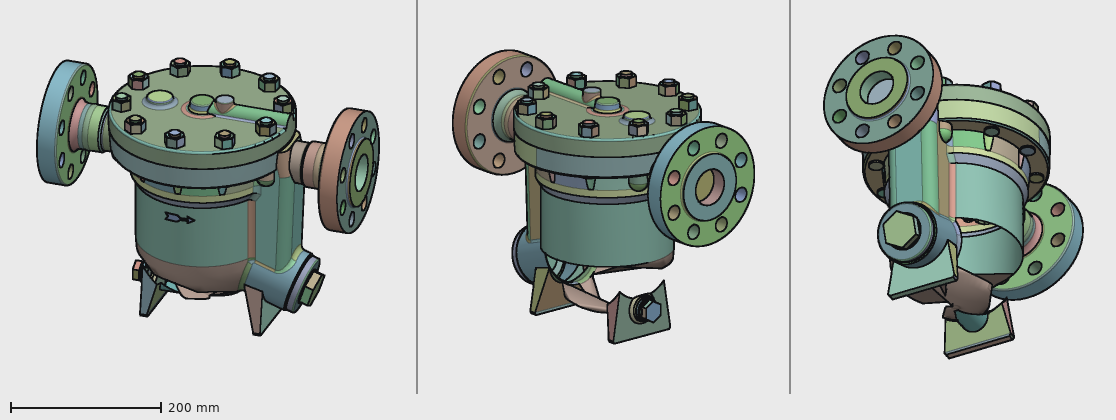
import cadquery as cq
import math


selection_margin = 1
edge_match_tolerance = 0.05

drum_radius = 89
dome_centre_z = -134.8
drum_top_z = -47
shoulder_bottom_z = -35.5
shoulder_top_z = -25
shoulder_radius = 96
neck_top_radius = 98.5

cover_radius = 125
joint_z = 30.5
cover_top_z = 56
cover_edge_fillet = 3
body_rim_bottom_z = 0
body_rim_half_x = 122.2
body_rim_half_y = 124.8
body_rim_edge_height = 2.5
body_rim_setback = 0.5
bolt_count = 10
bolt_circle_radius = 107.5
first_bolt_angle = 18
stud_diameter = 16
stud_top_z = 73.4
nut_top_z = 70
nut_across_flats = 24
nut_chamfer = 1
stud_pad_diameter = 20
stud_pad_height = 2.7
wrench_clearance_diameter = 24
blind_boss_diameter = 26
blind_boss_straight = 11.5

pipe_diameter = 56
face_to_face = 435
pipe_middle_x = 8
flange_diameter = 165
flange_thickness = 27
flange_edge_fillet = 2
raised_face_diameter = 92.1
raised_face_height = 5
raised_face_root_fillet = 1.8
flange_hole_diameter = 20
flange_hole_circle = 127
flange_hole_count = 8
bore_diameter = 50
bore_depth = 21
hub_diameter = 62
hub_fillet_radius = 13
hub_fillet_length = 10.4
hub_root_fillet = 1.6
weld_bead_start = 50
weld_bead_end = 58
weld_bead_height = 0.6
hub_end = 73
hub_end_chamfer = 3
hub_end_taper = 2
hub_end_step = 0.6

duct_half_width = 35.5
duct_corner_radius = 16
duct_root_fillet = 10
duct_outer_x_top = 130
duct_outer_x_knee = 138
duct_outer_x_bottom = 131.5
duct_top_z = 28
duct_knee_z = -7
duct_bottom_z = -165

strainer_tilt = 18.5
strainer_boss_diameter = 84
strainer_boss_end = 143.2
strainer_root_fillet = 8
strainer_gasket_diameter = 78
strainer_gasket_thickness = 2
holder_spigot_diameter = 56
holder_flange_diameter = 80
holder_flange_thickness = 10.8
holder_edge_fillet = 2
holder_washer_diameter = 50
holder_washer_thickness = 1.5
holder_hex_across_flats = 45
holder_hex_height = 12.2

foot_outer_x_left = -70.3
foot_outer_x_right = 99.7
foot_bottom_z = -244
foot_pad_height = 4.5
foot_pad_chamfer = 2
foot_pad_chamfer_height = 3.5
foot_sole_thickness = 10
foot_top_thickness = 26
foot_top_z = -178
foot_half_width = 50
foot_lean = 11.5
foot_lean_height = 72

drain_z = -203.5
drain_boss_diameter = 41
drain_boss_inner_x = 0
drain_boss_outer_x = -77
drain_boss_step_x = -74.5
drain_boss_chamfer = 1.5
drain_boss_flare_x = -70.3
drain_boss_flare_diameter = 44
drain_boss_flare_radius = 4.5
drain_boss_end_diameter = 36
drain_flange_diameter = 32
drain_flange_chamfer = 1
drain_flange_outer_x = -82.6
drain_neck_diameter = 24
drain_hex_inner_x = -85
drain_hex_outer_x = -94
drain_hex_across_flats = 26

ridge_radius = 13
ridge_root_fillet = 3
cover_boss_edge_fillet = 1.5
vent_boss_x = -60
vent_boss_base_radius = 24
vent_boss_flare_radius = 18
vent_boss_flare_height = 4.5
vent_boss_cap_radius = 17.5
vent_boss_height = 8
guide_boss_flare_radius = 17
guide_boss_flare_height = 5
guide_boss_cap_radius = 16
guide_pad_radius = 28.5
guide_pad_top_radius = 22
guide_pad_height = 1.2
guide_cap_x = 32
guide_cap_diameter = 24
guide_cap_top_z = 76
guide_cap_fillet = 0.8
guide_cap_root_fillet = 3

arrow_z = -65.5
arrow_height = 1
arrow_length = 41
arrow_half_width = 5
arrow_tail_end_x = -3
arrow_notch_depth = 4
arrow_shaft_x = 1
arrow_shaft_half_width = 1.5
arrow_barb_x = 11
arrow_barb_sweep = 1


def across_corners(across_flats):
    return across_flats / math.cos(math.pi / 6)


def bolt_places():
    """(angle, x, y) of every cover bolt."""
    places = []
    for index in range(bolt_count):
        angle = first_bolt_angle + index * 360 / bolt_count
        x = bolt_circle_radius * math.cos(math.radians(angle))
        y = bolt_circle_radius * math.sin(math.radians(angle))
        places.append((angle, x, y))
    return places


def next_to_pipe(y):
    """True for the four bolts that stand beside the pipe stubs."""
    return abs(y) < bolt_circle_radius / 2


def cylinder(x, y, bottom_z, top_z, diameter):
    return cq.Workplane("XY", origin=(x, y, bottom_z)).circle(diameter / 2).extrude(top_z - bottom_z)


def make_vessel():
    profile = (
        cq.Workplane("XZ")
        .moveTo(0, joint_z)
        .lineTo(neck_top_radius, joint_z)
        .lineTo(neck_top_radius, body_rim_bottom_z)
        .lineTo(shoulder_radius, shoulder_top_z)
        .lineTo(shoulder_radius, shoulder_bottom_z)
        .lineTo(drum_radius, drum_top_z)
        .lineTo(drum_radius, dome_centre_z)
        .radiusArc((0, dome_centre_z - drum_radius), drum_radius)
        .close()
    )
    return profile.revolve(360, (0, 0, 0), (0, 1, 0))


def make_body_rim():
    rim = (
        cq.Workplane("XY", origin=(0, 0, body_rim_edge_height))
        .ellipse(body_rim_half_x, body_rim_half_y)
        .workplane(offset=joint_z - body_rim_edge_height)
        .circle(cover_radius - body_rim_setback)
        .loft(ruled=True)
    )
    edge = (
        cq.Workplane("XY", origin=(0, 0, body_rim_bottom_z))
        .ellipse(body_rim_half_x - body_rim_edge_height, body_rim_half_y - body_rim_edge_height)
        .workplane(offset=body_rim_edge_height)
        .ellipse(body_rim_half_x, body_rim_half_y)
        .loft(ruled=True)
    )
    return rim.union(edge)


def make_blind_boss(x, y):
    radius = blind_boss_diameter / 2
    tip_z = body_rim_bottom_z - blind_boss_straight
    ball = cq.Workplane("XY", origin=(x, y, tip_z)).sphere(radius)
    return cylinder(x, y, tip_z, body_rim_edge_height, blind_boss_diameter).union(ball)


def make_pipe_end(side):
    """Stub, hub, weld bead and flange on the -X (side = -1) or +X (side = 1) end."""
    end_x = face_to_face / 2
    flange_back = raised_face_height + flange_thickness
    hub_root = flange_back + hub_root_fillet
    hub_start = hub_root + hub_fillet_length
    chamfer_end = hub_end + hub_end_chamfer
    hub_radius = hub_diameter / 2
    pipe_radius = pipe_diameter / 2
    hub_rise = hub_fillet_radius - math.sqrt(hub_fillet_radius**2 - hub_fillet_length**2)
    bead_middle = (weld_bead_start + weld_bead_end) / 2
    profile = (
        cq.Workplane("XY")
        .moveTo(0, 0)
        .lineTo(0, raised_face_diameter / 2)
        .lineTo(raised_face_height - raised_face_root_fillet, raised_face_diameter / 2)
        .radiusArc(
            (raised_face_height, raised_face_diameter / 2 + raised_face_root_fillet), -raised_face_root_fillet
        )
        .lineTo(raised_face_height, flange_diameter / 2)
        .lineTo(flange_back - flange_edge_fillet, flange_diameter / 2)
        .radiusArc((flange_back, flange_diameter / 2 - flange_edge_fillet), flange_edge_fillet)
        .lineTo(flange_back, hub_radius + hub_rise + hub_root_fillet)
        .radiusArc((hub_root, hub_radius + hub_rise), -hub_root_fillet)
        .radiusArc((hub_start, hub_radius), -hub_fillet_radius)
        .lineTo(weld_bead_start, hub_radius)
        .threePointArc((bead_middle, hub_radius + weld_bead_height), (weld_bead_end, hub_radius))
        .lineTo(hub_end, hub_radius)
        .lineTo(chamfer_end, pipe_radius + hub_end_step)
        .lineTo(chamfer_end + hub_end_taper, pipe_radius)
        .lineTo(end_x - pipe_middle_x, pipe_radius)
        .lineTo(end_x - pipe_middle_x, 0)
        .close()
    )
    solid = profile.revolve(360, (0, 0, 0), (1, 0, 0))
    bore = cq.Workplane("YZ").circle(bore_diameter / 2).extrude(bore_depth)
    holes = (
        cq.Workplane("YZ")
        .polarArray(flange_hole_circle / 2, 180 / flange_hole_count, 360, flange_hole_count)
        .circle(flange_hole_diameter / 2)
        .extrude(flange_back)
    )
    solid = solid.cut(bore).cut(holes)
    if side > 0:
        solid = solid.mirror("YZ")
    return solid.translate((pipe_middle_x + side * end_x, 0, 0))


def make_duct():
    outline = [
        (0, duct_bottom_z),
        (duct_outer_x_bottom, duct_bottom_z),
        (duct_outer_x_knee, duct_knee_z),
        (duct_outer_x_top, duct_top_z),
        (0, duct_top_z),
    ]
    block = cq.Workplane("XZ").polyline(outline).close().extrude(duct_half_width, both=True)
    outer_corners = cq.selectors.BoxSelector(
        (cover_radius, -duct_half_width - selection_margin, duct_bottom_z),
        (face_to_face, duct_half_width + selection_margin, duct_top_z - selection_margin),
    )
    return block.edges(outer_corners).edges("not |Y").fillet(duct_corner_radius)


def strainer_plane(distance):
    """Plane across the strainer axis at a distance from the dome centre."""
    tilt = math.radians(strainer_tilt)
    axis = (math.cos(tilt), 0, -math.sin(tilt))
    origin = (distance * axis[0], 0, dome_centre_z + distance * axis[2])
    return cq.Workplane(cq.Plane(origin=origin, xDir=(0, 1, 0), normal=axis))


def make_strainer_boss():
    return strainer_plane(0).circle(strainer_boss_diameter / 2).extrude(strainer_boss_end)


def make_foot(outer_x, inward):
    """Tapered plate; inward is +1 when the vessel lies toward +X of the outer face."""
    outline = [
        (outer_x, foot_bottom_z),
        (outer_x + inward * foot_sole_thickness, foot_bottom_z),
        (outer_x + inward * foot_sole_thickness, foot_bottom_z + foot_pad_height),
        (outer_x + inward * foot_top_thickness, foot_top_z),
        (outer_x + inward * foot_top_thickness, foot_bottom_z + foot_lean_height),
        (outer_x, foot_bottom_z + foot_lean_height),
    ]
    plate = cq.Workplane("XZ").polyline(outline).close().extrude(foot_half_width, both=True)
    top_half_width = foot_half_width - foot_lean
    side_outline = [
        (-foot_half_width + foot_pad_chamfer, foot_bottom_z),
        (foot_half_width - foot_pad_chamfer, foot_bottom_z),
        (foot_half_width, foot_bottom_z + foot_pad_chamfer_height),
        (top_half_width, foot_bottom_z + foot_lean_height),
        (-top_half_width, foot_bottom_z + foot_lean_height),
        (-foot_half_width, foot_bottom_z + foot_pad_chamfer_height),
    ]
    trapezoid = cq.Workplane("YZ").polyline(side_outline).close().extrude(2 * cover_radius, both=True)
    return plate.intersect(trapezoid)


def make_drain_boss():
    profile = (
        cq.Workplane("XZ", origin=(0, 0, drain_z))
        .moveTo(drain_boss_inner_x, 0)
        .lineTo(drain_boss_inner_x, drain_boss_diameter / 2)
        .lineTo(drain_boss_flare_x, drain_boss_diameter / 2)
        .lineTo(drain_boss_flare_x, drain_boss_flare_diameter / 2)
        .radiusArc((drain_boss_step_x, drain_boss_end_diameter / 2), -drain_boss_flare_radius)
        .lineTo(drain_boss_outer_x, drain_boss_end_diameter / 2 - drain_boss_chamfer)
        .lineTo(drain_boss_outer_x, 0)
        .close()
    )
    return profile.revolve(360, (0, 0, 0), (1, 0, 0))


def make_arrow():
    """Raised flow arrow on the -Y side of the drum, pointing to +X."""
    upper_side = [
        (-arrow_length / 2, arrow_half_width),
        (arrow_tail_end_x, arrow_half_width),
        (arrow_shaft_x, arrow_shaft_half_width),
        (arrow_barb_x + arrow_barb_sweep, arrow_shaft_half_width),
        (arrow_barb_x, arrow_half_width),
    ]
    tip = (arrow_length / 2, 0)
    tail_notch = (-arrow_length / 2 + arrow_notch_depth, 0)
    lower_side = [(x, -z) for x, z in reversed(upper_side)]
    outline = upper_side + [tip] + lower_side + [tail_notch]
    blade = cq.Workplane("XZ", origin=(0, 0, arrow_z)).polyline(outline).close().extrude(cover_radius)
    shell = cylinder(0, 0, dome_centre_z, drum_top_z, 2 * (drum_radius + arrow_height))
    return blade.intersect(shell)


def lies_on_strainer_boss(edge):
    """True for an edge on the side of the strainer boss, away from both of its ends."""
    plane = strainer_plane(0).plane
    last_distance = strainer_boss_end - selection_margin
    for share in (0, 0.3, 0.6, 1):
        local = plane.toLocalCoords(edge.positionAt(share))
        off_surface = abs(math.hypot(local.x, local.y) - strainer_boss_diameter / 2)
        if off_surface > edge_match_tolerance or not edge_match_tolerance < local.z < last_distance:
            return False
    return True


def make_vessel_with_branches():
    """Vessel, duct and strainer boss, with rounded inner corners where they join."""
    shape = make_vessel().union(make_duct())
    duct_roots = cq.selectors.BoxSelector(
        (0, -duct_half_width - selection_margin, dome_centre_z - selection_margin),
        (neck_top_radius, duct_half_width + selection_margin, duct_top_z + selection_margin),
        boundingbox=True,
    )
    shape = shape.edges(duct_roots).edges("not %CIRCLE").fillet(duct_root_fillet)
    shape = shape.union(make_strainer_boss())
    boss_roots = [edge for edge in shape.edges().vals() if lies_on_strainer_boss(edge)]
    return shape.newObject(boss_roots).fillet(strainer_root_fillet)


def make_body():
    body = make_vessel_with_branches()
    for angle, x, y in bolt_places():
        if not next_to_pipe(y):
            clearance = cylinder(x, y, shoulder_top_z, body_rim_bottom_z, wrench_clearance_diameter)
            body = body.cut(clearance)
    body = body.union(make_body_rim())
    for angle, x, y in bolt_places():
        if next_to_pipe(y):
            body = body.union(make_blind_boss(x, y))
        else:
            pad_bottom_z = body_rim_bottom_z - stud_pad_height
            body = body.union(cylinder(x, y, pad_bottom_z, body_rim_edge_height, stud_pad_diameter))
    body = body.union(make_drain_boss())
    body = body.union(make_foot(foot_outer_x_left, 1)).union(make_foot(foot_outer_x_right, -1))
    for side in (-1, 1):
        body = body.union(make_pipe_end(side))
    return body.union(make_arrow())


def make_cover_boss(x, base_radius, flare_radius, flare_height, cap_radius, height):
    """Round boss on the cover with a flared foot, a conical side and a rounded top edge."""
    flare_width = base_radius - flare_radius
    flare_arc = (flare_width**2 + flare_height**2) / (2 * flare_height)
    top_radius = cap_radius - cover_boss_edge_fillet
    profile = (
        cq.Workplane("XZ", origin=(x, 0, cover_top_z))
        .moveTo(0, 0)
        .lineTo(base_radius, 0)
        .radiusArc((flare_radius, flare_height), flare_arc)
        .lineTo(cap_radius, height - cover_boss_edge_fillet)
        .radiusArc((top_radius, height), -cover_boss_edge_fillet)
        .lineTo(0, height)
        .close()
    )
    return profile.revolve(360, (0, 0, 0), (0, 1, 0))


def make_guide_pad():
    """Low cone under the central boss."""
    return (
        cq.Workplane("XY", origin=(0, 0, cover_top_z))
        .circle(guide_pad_radius)
        .workplane(offset=guide_pad_height)
        .circle(guide_pad_top_radius)
        .loft(ruled=True)
    )


def make_ridge():
    """Half-round ridge from the cover centre to its +X edge, blended into the cover top."""
    blend_y = math.sqrt((ridge_radius + ridge_root_fillet) ** 2 - ridge_root_fillet**2)
    share = ridge_radius / (ridge_radius + ridge_root_fillet)
    tangent_y = blend_y * share
    tangent_z = cover_top_z + ridge_root_fillet * share
    section = (
        cq.Workplane("YZ")
        .moveTo(-blend_y, joint_z)
        .lineTo(-blend_y, cover_top_z)
        .radiusArc((-tangent_y, tangent_z), -ridge_root_fillet)
        .radiusArc((tangent_y, tangent_z), ridge_radius)
        .radiusArc((blend_y, cover_top_z), -ridge_root_fillet)
        .lineTo(blend_y, joint_z)
        .close()
        .extrude(cover_radius)
    )
    outline = cylinder(0, 0, joint_z, guide_cap_top_z, 2 * cover_radius)
    return section.intersect(outline)


def make_ridge_with_cap():
    """Ridge carrying a round upright cap, blended where the cap rises from the ridge."""
    reach = guide_cap_diameter / 2 + selection_margin
    crown_z = cover_top_z + ridge_radius
    cap = cylinder(guide_cap_x, 0, cover_top_z, guide_cap_top_z, guide_cap_diameter)
    cap = cap.faces(">Z").edges().fillet(guide_cap_fillet)
    root_edges = cq.selectors.BoxSelector(
        (guide_cap_x - reach, -reach, cover_top_z),
        (guide_cap_x + reach, reach, crown_z + selection_margin),
        boundingbox=True,
    )
    return make_ridge().union(cap).edges(root_edges).fillet(guide_cap_root_fillet)


def make_nut_and_stud(angle, x, y):
    corners = across_corners(nut_across_flats)
    nut = (
        cq.Workplane("XY", origin=(0, 0, cover_top_z))
        .polygon(6, corners)
        .extrude(nut_top_z - cover_top_z)
    )
    chamfer_cone = (
        cq.Workplane("XY", origin=(0, 0, cover_top_z))
        .circle(corners / 2)
        .extrude(nut_top_z - cover_top_z)
        .faces(">Z")
        .chamfer(nut_chamfer, 2 * nut_chamfer)
    )
    stud = cylinder(0, 0, cover_top_z, stud_top_z, stud_diameter)
    fastener = nut.intersect(chamfer_cone).union(stud)
    return fastener.rotate((0, 0, 0), (0, 0, 1), angle - 90).translate((x, y, 0))


def make_cover():
    cover = cylinder(0, 0, joint_z, cover_top_z, 2 * cover_radius)
    cover = cover.faces(">Z").edges().fillet(cover_edge_fillet)
    cover = cover.union(make_ridge_with_cap())
    cover = cover.union(
        make_cover_boss(
            vent_boss_x,
            vent_boss_base_radius,
            vent_boss_flare_radius,
            vent_boss_flare_height,
            vent_boss_cap_radius,
            vent_boss_height,
        )
    )
    cover = cover.union(
        make_cover_boss(
            0,
            guide_pad_top_radius,
            guide_boss_flare_radius,
            guide_boss_flare_height,
            guide_boss_cap_radius,
            ridge_radius,
        )
    )
    cover = cover.union(make_guide_pad())
    for angle, x, y in bolt_places():
        cover = cover.union(make_nut_and_stud(angle, x, y))
    return cover


def make_strainer_gasket():
    return (
        strainer_plane(strainer_boss_end)
        .circle(strainer_gasket_diameter / 2)
        .circle(holder_spigot_diameter / 2)
        .extrude(strainer_gasket_thickness)
    )


def make_strainer_holder():
    flange_start = strainer_boss_end + strainer_gasket_thickness
    flange_end = flange_start + holder_flange_thickness
    washer_end = flange_end + holder_washer_thickness
    flange = strainer_plane(flange_start).circle(holder_flange_diameter / 2)
    flange = flange.extrude(holder_flange_thickness)
    flange = flange.faces(">X").edges().fillet(holder_edge_fillet)
    spigot = (
        strainer_plane(strainer_boss_end)
        .circle(holder_spigot_diameter / 2)
        .extrude(strainer_gasket_thickness)
    )
    washer = strainer_plane(flange_end).circle(holder_washer_diameter / 2).extrude(holder_washer_thickness)
    hexagon = (
        strainer_plane(washer_end)
        .transformed(rotate=(0, 0, 90))
        .polygon(6, across_corners(holder_hex_across_flats))
        .extrude(holder_hex_height)
    )
    return flange.union(spigot).union(washer).union(hexagon)


def make_drain_plug():
    def along_x(from_x):
        return cq.Workplane("YZ", origin=(from_x, 0, drain_z))

    flange = along_x(drain_flange_outer_x).circle(drain_flange_diameter / 2)
    flange = flange.extrude(drain_boss_outer_x - drain_flange_outer_x)
    flange = flange.faces("<X").edges().chamfer(drain_flange_chamfer)
    neck = along_x(drain_hex_inner_x).circle(drain_neck_diameter / 2)
    neck = neck.extrude(drain_flange_outer_x - drain_hex_inner_x)
    hexagon = along_x(drain_hex_outer_x).transformed(rotate=(0, 0, 90))
    hexagon = hexagon.polygon(6, across_corners(drain_hex_across_flats))
    hexagon = hexagon.extrude(drain_hex_inner_x - drain_hex_outer_x)
    return flange.union(neck).union(hexagon)


body = make_body()
cover = make_cover()
strainer_gasket = make_strainer_gasket()
strainer_holder = make_strainer_holder()
drain_plug = make_drain_plug()

result = cq.Compound.makeCompound(
    [body.val(), cover.val(), strainer_gasket.val(), strainer_holder.val(), drain_plug.val()]
)